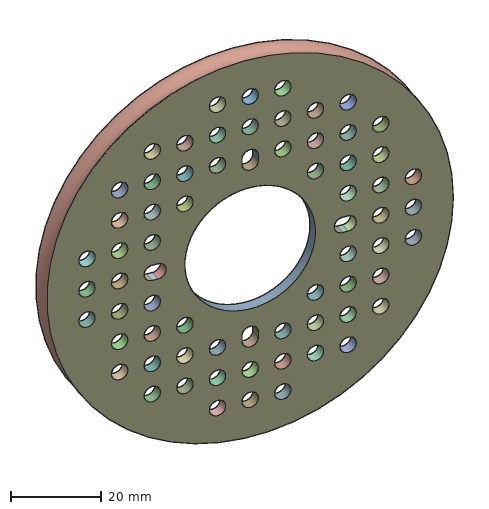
import cadquery as cq
import math

outer_diameter = 99.6
width = 6.0
bore_diameter = 32.0

recess_diameter = 92.0
recess_depth = 3.0

groove_radius = 3.5

hole_diameter = 4.0
grid_span = 80.0
outermost_row = 5
pitch = grid_span / (2 * outermost_row)
columns_by_row = {
    0: (4, 5),
    1: (3, 4, 5),
    2: (2, 3, 4),
    3: (0, 1, 2, 3, 4),
    4: (0, 1, 2, 3),
    5: (0, 1),
}

slot_count = 4
slot_row = 3
slot_length = 5.4


def make_grooved_disc():
    """Revolve the half section, whose rim is a concave arc, about X."""
    half_width = width / 2
    rim_radius = outer_diameter / 2
    bore_radius = bore_diameter / 2
    groove_depth = groove_radius - math.sqrt(groove_radius**2 - half_width**2)
    return (
        cq.Workplane("XY")
        .moveTo(-half_width, bore_radius)
        .lineTo(-half_width, rim_radius)
        .threePointArc((0, rim_radius - groove_depth), (half_width, rim_radius))
        .lineTo(half_width, bore_radius)
        .close()
        .revolve(360, (0, 0, 0), (1, 0, 0))
    )


def make_recess():
    return (
        cq.Workplane("YZ", origin=(-width / 2, 0, 0))
        .circle(recess_diameter / 2)
        .extrude(recess_depth)
    )


def hole_centres():
    """List every hole, mirrored into all four quadrants without repeats."""
    centres = set()
    for row, columns in columns_by_row.items():
        for column in columns:
            for y_side in (-1, 1):
                for z_side in (-1, 1):
                    centres.add((y_side * column, z_side * row))
    return [(y * pitch, z * pitch) for y, z in sorted(centres)]


def make_holes():
    return (
        cq.Workplane("YZ", origin=(-width / 2, 0, 0))
        .pushPoints(hole_centres())
        .circle(hole_diameter / 2)
        .extrude(width)
    )


def make_slots():
    """Slots whose outer ends match the round holes of the slot row."""
    slot_centre_radius = slot_row * pitch - (slot_length - hole_diameter) / 2
    return (
        cq.Workplane("YZ", origin=(-width / 2, 0, 0))
        .polarArray(slot_centre_radius, 0, 360, slot_count)
        .slot2D(slot_length, hole_diameter)
        .extrude(width)
    )


result = make_grooved_disc().cut(make_recess()).cut(make_holes()).cut(make_slots())